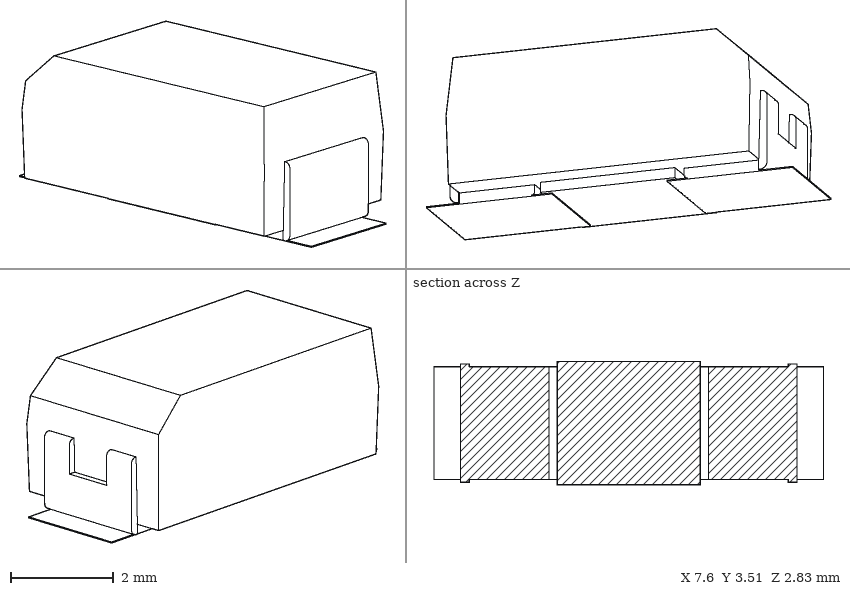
import cadquery as cq
import math

body_length = 6.31
body_width = 3.51
body_bottom = 0.23
parting_height = 1.63
body_top = 2.83
upper_draft = 5.0
lower_draft = 1.5

bevel_start_x = -2.42
bevel_end_height = 2.205

overall_length = 7.6
pad_length = 2.61
pad_width = 2.205
pad_thickness = 0.02

lead_span = 6.58
lead_width = 2.31
upper_bend_radius = 0.115
lower_bend_radius = 0.145
lead_inner_x = 3.11
foot_inner_x = 1.55
foot_width = 2.205
foot_tip_radius = 0.07

notch_width = 0.99
notch_floor = 0.92

block_length = 2.79
block_width = 2.41


def tapered_half(height, draft):
    """Half of the body, narrowing away from the parting plane; a negative height goes down."""
    return (
        cq.Workplane("XY", origin=(0, 0, parting_height))
        .rect(body_length, body_width)
        .extrude(height, taper=draft)
    )


def make_body():
    upper = tapered_half(body_top - parting_height, upper_draft)
    lower = tapered_half(body_bottom - parting_height, lower_draft)

    end_inset = (bevel_end_height - parting_height) * math.tan(math.radians(upper_draft))
    bevel_end_x = -body_length / 2 + end_inset
    slope = (body_top - bevel_end_height) / (bevel_start_x - bevel_end_x)
    cut_end_x = -body_length / 2
    cut_end_height = bevel_end_height - slope * (bevel_end_x - cut_end_x)
    bevel = (
        cq.Workplane("XZ")
        .polyline([(bevel_start_x, body_top), (cut_end_x, body_top), (cut_end_x, cut_end_height)])
        .close()
        .extrude(body_width / 2, both=True)
    )
    return upper.union(lower).cut(bevel)


def box_between(x_start, x_end, width, z_start, z_end):
    """Box centred on Y = 0 between the given X and Z limits."""
    return (
        cq.Workplane("XY", origin=((x_start + x_end) / 2, 0, z_start))
        .rect(x_end - x_start, width)
        .extrude(z_end - z_start)
    )


def make_lead():
    """Lead at the -X end, without a notch: an upright and a narrower foot."""
    outer_x = -lead_span / 2
    upright = box_between(outer_x, -lead_inner_x, lead_width, pad_thickness, parting_height)
    upright = upright.faces(">Z").edges("<X").fillet(upper_bend_radius)
    upright = upright.faces("<Z").edges("<X").fillet(lower_bend_radius)
    foot = box_between(-lead_inner_x, -foot_inner_x, foot_width, pad_thickness, body_bottom)
    foot = foot.edges("|Y and >X and <Z").fillet(foot_tip_radius)
    return upright.union(foot)


def make_pad():
    """Pad at the -X end."""
    outer_x = -overall_length / 2
    return box_between(outer_x, outer_x + pad_length, pad_width, 0, pad_thickness)


def make_notch():
    return box_between(-lead_span / 2, -lead_inner_x, notch_width, notch_floor, parting_height)


lead = make_lead()
pad = make_pad()
block = box_between(-block_length / 2, block_length / 2, block_width, pad_thickness, body_bottom)

result = (
    make_body()
    .union(block)
    .union(lead.cut(make_notch()))
    .union(lead.mirror("YZ"))
    .union(pad)
    .union(pad.mirror("YZ"))
)